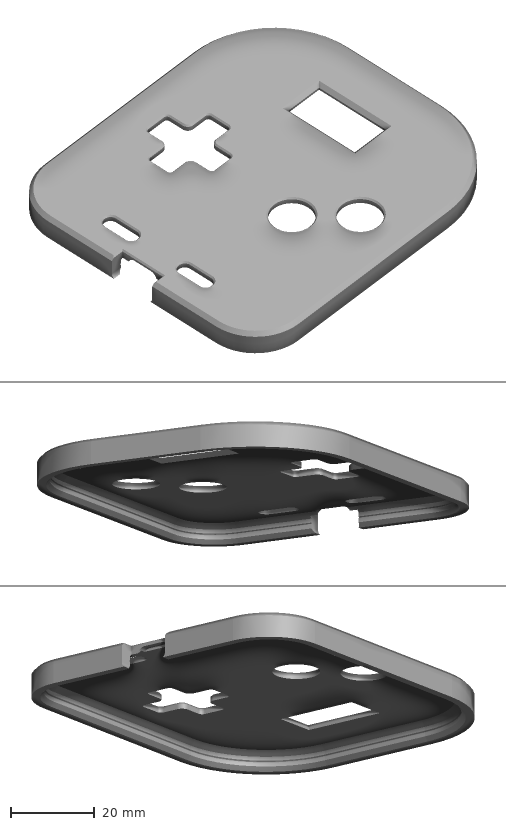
import cadquery as cq

WIDTH = 82.4
LENGTH = 93.2
HEIGHT = 6.4
BACK_RADIUS = 26.0
FRONT_RADIUS = 14.0
EDGE_CHAMFER = 1.0
WALL = 3.2
PLATE = 1.7

CEILING_CHAMFER = 1.3
MOUTH_CHAMFER = 1.0
GROOVE_DEPTH = 0.23
GROOVE_Z = 2.2

SCREEN_SIZE = (21.5, 10.9)
SCREEN_Y = 26.1
SCREEN_CHAMFER = 1.0
HOLE_CHAMFER = 0.4
BUTTON_DIAMETER = 11.5
BUTTON_CENTRES = [(27.0, 4.75), (15.0, -6.3)]
DPAD_CENTRE = (-20.0, -4.4)
DPAD_SPAN = 21.4
DPAD_ARM = 7.4
DPAD_TIP_RADIUS = 1.0
DPAD_INNER_RADIUS = 1.8
SLOT_SIZE = (10.6, 3.9)
SLOT_X = 12.0
SLOT_Y = -37.4

NOTCH_WIDTH = 13.05
NOTCH_DEPTH = 3.7
NOTCH_FOOT_RADIUS = 1.5
NOTCH_FOOT_Z = -0.3
NOTCH_CHAMFER = 0.4

RECESS_WIDTH = 9.1
RECESS_HEIGHT = 3.9
RECESS_TOP_Z = HEIGHT - 1.0
RECESS_DEPTH = 2.0

CEILING_Z = HEIGHT - PLATE
FRONT_Y = -LENGTH / 2
CLEARANCE = 0.9


def rounded_body(inset, bottom_z, height, taper=0.0):
    """Prism of the shell outline moved inwards by `inset`; a positive taper narrows it upwards."""
    half_width = WIDTH / 2 - inset
    half_length = LENGTH / 2 - inset
    back = BACK_RADIUS - inset
    front = FRONT_RADIUS - inset
    outline = (
        cq.Workplane("XY", origin=(0, 0, bottom_z))
        .moveTo(-half_width + front, -half_length)
        .lineTo(half_width - front, -half_length)
        .radiusArc((half_width, -half_length + front), -front)
        .lineTo(half_width, half_length - back)
        .radiusArc((half_width - back, half_length), -back)
        .lineTo(-half_width + back, half_length)
        .radiusArc((-half_width, half_length - back), -back)
        .lineTo(-half_width, -half_length + front)
        .radiusArc((-half_width + front, -half_length), -front)
        .close()
    )
    return outline.extrude(height, taper=taper)


def make_cavity():
    """Inside of the tray: chamfered ceiling, widened mouth and a V groove around the wall."""
    cavity = rounded_body(WALL, 0, CEILING_Z).faces(">Z").edges().chamfer(CEILING_CHAMFER)
    mouth = rounded_body(WALL - MOUTH_CHAMFER, 0, MOUTH_CHAMFER, taper=45)
    lower_groove = rounded_body(WALL, GROOVE_Z - GROOVE_DEPTH, GROOVE_DEPTH, taper=-45)
    upper_groove = rounded_body(WALL - GROOVE_DEPTH, GROOVE_Z, GROOVE_DEPTH, taper=45)
    return cavity.union(mouth).union(lower_groove).union(upper_groove)


def plate_opening(sketch, chamfer):
    """Cutter through the plate that flares outwards by `chamfer` at the top face.

    `sketch` draws the closed outline of the straight wall on the workplane it is given.
    """
    depth = PLATE + CLEARANCE
    straight = sketch(cq.Workplane("XY", origin=(0, 0, HEIGHT - depth))).extrude(depth)
    flare = sketch(cq.Workplane("XY", origin=(0, 0, HEIGHT - chamfer))).extrude(chamfer, taper=-45)
    return straight.union(flare)


def chamfered_rectangle(size, centre_y, depth, chamfer):
    """Rectangular cutter down from the top face, flared by `chamfer` with mitred corners."""
    size_x, size_y = size
    top = cq.Workplane("XY", origin=(0, centre_y, HEIGHT))
    straight = top.rect(size_x, size_y).extrude(-depth)
    flare = top.rect(size_x + 2 * chamfer, size_y + 2 * chamfer).extrude(-chamfer, taper=45)
    return straight.union(flare)


def make_screen():
    return chamfered_rectangle(SCREEN_SIZE, SCREEN_Y, PLATE + CLEARANCE, SCREEN_CHAMFER)


def make_button(centre):
    return plate_opening(lambda plane: plane.center(*centre).circle(BUTTON_DIAMETER / 2), HOLE_CHAMFER)


def make_slot(x):
    return plate_opening(lambda plane: plane.center(x, SLOT_Y).slot2D(*SLOT_SIZE), HOLE_CHAMFER)


def draw_cross(plane):
    """Cross outline with rounded arm tips and rounded inner corners."""
    tip = DPAD_SPAN / 2
    side = DPAD_ARM / 2
    tip_start = side - DPAD_TIP_RADIUS
    tip_end = tip - DPAD_TIP_RADIUS
    inner = side + DPAD_INNER_RADIUS
    outline = plane.center(*DPAD_CENTRE).moveTo(tip, -tip_start)
    for along_x, along_y in [(1, 0), (0, 1), (-1, 0), (0, -1)]:

        def point(along, across):
            return (along * along_x - across * along_y, along * along_y + across * along_x)

        outline = (
            outline.lineTo(*point(tip, tip_start))
            .radiusArc(point(tip_end, side), -DPAD_TIP_RADIUS)
            .lineTo(*point(inner, side))
            .radiusArc(point(side, inner), DPAD_INNER_RADIUS)
            .lineTo(*point(side, tip_end))
            .radiusArc(point(tip_start, tip), -DPAD_TIP_RADIUS)
        )
    return outline.close()


def make_dpad():
    return plate_opening(draw_cross, HOLE_CHAMFER)


def make_notch():
    """Gap in the front wall, chamfered around the top face.

    Its foot corners are rounded below the mouth plane, so the arcs stop short at Z = 0.
    """
    notch_size = (NOTCH_WIDTH, 2 * NOTCH_DEPTH)
    gap = chamfered_rectangle(notch_size, FRONT_Y, HEIGHT - NOTCH_FOOT_Z, NOTCH_CHAMFER)
    return gap.faces("<Z").edges("|Y").fillet(NOTCH_FOOT_RADIUS)


def make_recess():
    centre_z = RECESS_TOP_Z - RECESS_HEIGHT / 2
    return (
        cq.Workplane("XZ", origin=(0, FRONT_Y + NOTCH_DEPTH, centre_z))
        .slot2D(RECESS_WIDTH, RECESS_HEIGHT)
        .extrude(-RECESS_DEPTH)
    )


shell = rounded_body(0, 0, HEIGHT).faces(">Z").edges().chamfer(EDGE_CHAMFER).cut(make_cavity())

cutters = [make_screen(), make_dpad(), make_notch(), make_recess()]
cutters += [make_button(centre) for centre in BUTTON_CENTRES]
cutters += [make_slot(x) for x in (-SLOT_X, SLOT_X)]
for cutter in cutters:
    shell = shell.cut(cutter)

result = shell